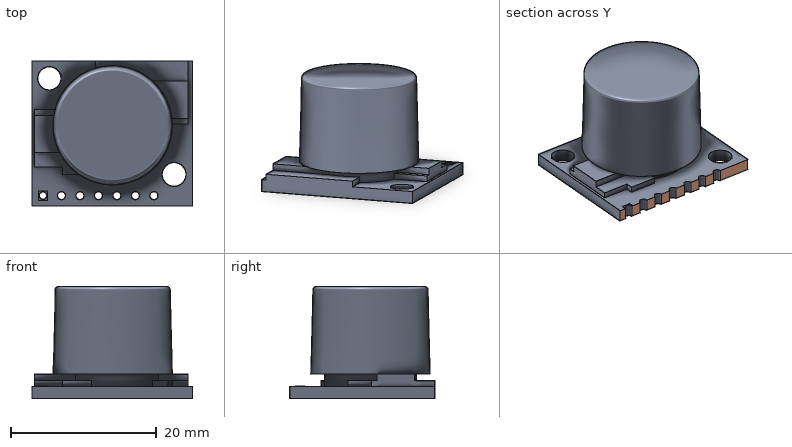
import cadquery as cq
import math

BOARD_X = 22.1
BOARD_Y = 19.94
BOARD_Z = 1.68
TOTAL_Z = 15.42

MOUNTING_HOLES = [(2.41, 17.54, 3.17), (19.54, 4.34, 3.25)]

PIN_COUNT = 7
PIN_PITCH = 2.54
FIRST_PIN_X = 1.53
PIN_Y = 1.43
PIN_DIAMETER = 1.07
FIRST_PIN_DIAMETER = 0.99
PAD_SIDE = 1.27
PAD_HEIGHT = 0.02

LOWER_LAYER = 0.8
UPPER_LAYER = 0.9
LOWER_TOP = BOARD_Z + LOWER_LAYER
CAP_BOTTOM = LOWER_TOP + UPPER_LAYER

CENTER_X = 11.1
CENTER_Y = 11.1
NECK_RADIUS = 6.32
CAP_BOTTOM_RADIUS = 8.21
CAP_TOP_RADIUS = 7.91
CAP_EDGE_RADIUS = 0.5

LEFT_X = 0.36
LEFT_BACK_Y = 13.25
LEFT_FRONT_Y = 5.37
LEFT_TAB_X = 4.2
LEFT_TAB_END_X = 8.17
LEFT_TAB_FRONT_Y = 4.31
LEFT_UPPER_FRONT_Y = 7.33
LEFT_UPPER_BACK_Y = 12.44

RIGHT_X = 21.46
RIGHT_FRONT_Y = 11.27
RIGHT_TAB_X = 8.78
RIGHT_TAB_FRONT_Y = 17.18
RIGHT_LIP_X = 18.7
RIGHT_LIP_START_X = 16.54
RIGHT_UPPER_FRONT_Y = 12.0


def extrude_outline(points, bottom, height):
    return cq.Workplane("XY").workplane(offset=bottom).polyline(points).close().extrude(height)


def block(x_min, x_max, y_min, y_max, bottom, height):
    corners = [(x_min, y_min), (x_max, y_min), (x_max, y_max), (x_min, y_max)]
    return extrude_outline(corners, bottom, height)


def cap_rim_point(angle):
    """Point on the lower rim of the cap, seen from above."""
    return (
        CENTER_X + CAP_BOTTOM_RADIUS * math.cos(angle),
        CENTER_Y + CAP_BOTTOM_RADIUS * math.sin(angle),
    )


def make_board():
    return block(0, BOARD_X, 0, BOARD_Y, 0, BOARD_Z)


def make_pad():
    return (
        cq.Workplane("XY")
        .workplane(offset=BOARD_Z)
        .center(FIRST_PIN_X, PIN_Y)
        .rect(PAD_SIDE, PAD_SIDE)
        .extrude(PAD_HEIGHT)
    )


def make_neck():
    return (
        cq.Workplane("XY")
        .workplane(offset=BOARD_Z)
        .center(CENTER_X, CENTER_Y)
        .circle(NECK_RADIUS)
        .extrude(CAP_BOTTOM - BOARD_Z)
    )


def make_cap():
    cap_height = TOTAL_Z - CAP_BOTTOM
    taper = math.degrees(math.atan2(CAP_BOTTOM_RADIUS - CAP_TOP_RADIUS, cap_height))
    return (
        cq.Workplane("XY")
        .workplane(offset=CAP_BOTTOM)
        .center(CENTER_X, CENTER_Y)
        .circle(CAP_BOTTOM_RADIUS)
        .extrude(cap_height, taper=taper)
        .faces(">Z")
        .edges()
        .fillet(CAP_EDGE_RADIUS)
    )


def make_left_terminal():
    lower_outline = [
        (LEFT_X, LEFT_BACK_Y),
        (LEFT_X, LEFT_FRONT_Y),
        (LEFT_TAB_X, LEFT_FRONT_Y),
        (LEFT_TAB_X, LEFT_TAB_FRONT_Y),
        (LEFT_TAB_END_X, LEFT_TAB_FRONT_Y),
        (LEFT_TAB_END_X, LEFT_BACK_Y),
    ]
    lower = extrude_outline(lower_outline, BOARD_Z, LOWER_LAYER)
    upper = block(LEFT_X, CENTER_X, LEFT_UPPER_FRONT_Y, LEFT_UPPER_BACK_Y, LOWER_TOP, UPPER_LAYER)
    return lower.union(upper)


def make_right_terminal():
    start_angle = math.asin((RIGHT_FRONT_Y - CENTER_Y) / CAP_BOTTOM_RADIUS)
    end_angle = -math.acos((RIGHT_LIP_X - CENTER_X) / CAP_BOTTOM_RADIUS)
    rim_start = cap_rim_point(start_angle)
    rim_middle = cap_rim_point((start_angle + end_angle) / 2)
    rim_end = cap_rim_point(end_angle)
    lower = (
        cq.Workplane("XY")
        .workplane(offset=BOARD_Z)
        .moveTo(RIGHT_TAB_X, RIGHT_TAB_FRONT_Y)
        .lineTo(RIGHT_TAB_X, BOARD_Y)
        .lineTo(RIGHT_X, BOARD_Y)
        .lineTo(RIGHT_X, RIGHT_FRONT_Y)
        .lineTo(*rim_start)
        .threePointArc(rim_middle, rim_end)
        .lineTo(RIGHT_LIP_START_X, rim_end[1])
        .lineTo(RIGHT_LIP_START_X, RIGHT_FRONT_Y)
        .lineTo(CENTER_X, RIGHT_FRONT_Y)
        .lineTo(CENTER_X, RIGHT_TAB_FRONT_Y)
        .close()
        .extrude(LOWER_LAYER)
    )
    upper = block(CENTER_X, RIGHT_X, RIGHT_UPPER_FRONT_Y, RIGHT_TAB_FRONT_Y, LOWER_TOP, UPPER_LAYER)
    return lower.union(upper)


def through_hole(x, y, diameter):
    return cq.Workplane("XY").center(x, y).circle(diameter / 2).extrude(BOARD_Z + PAD_HEIGHT)


def cut_holes(body):
    for x, y, diameter in MOUNTING_HOLES:
        body = body.cut(through_hole(x, y, diameter))
    for index in range(PIN_COUNT):
        diameter = FIRST_PIN_DIAMETER if index == 0 else PIN_DIAMETER
        body = body.cut(through_hole(FIRST_PIN_X + index * PIN_PITCH, PIN_Y, diameter))
    return body


body = make_board().union(make_pad())
body = cut_holes(body)
body = body.union(make_neck()).union(make_left_terminal()).union(make_right_terminal())
result = body.union(make_cap())